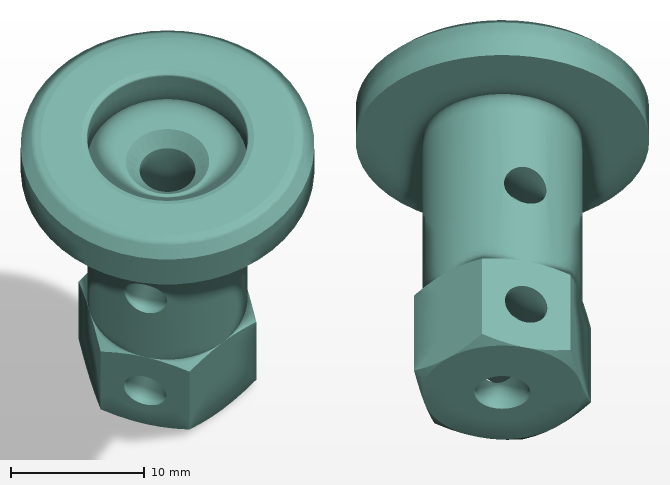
import cadquery as cq
import math

total_height = 27.25
flange_thickness = 4.0
hex_height = 8.0

flange_diameter = 22.0
rim_diameter = 20.25
rim_drop = 0.123
rim_fillet = 0.5
top_face_diameter = 18.99
flange_chamfer = (flange_diameter - rim_diameter) / 2

shaft_diameter = 12.0
hex_across_flats = shaft_diameter
hex_chamfer_angle = 30.0

bore_diameter = 4.2
countersink_diameter = 6.25
countersink_depth = (countersink_diameter - bore_diameter) / 2
recess_diameter = 12.0
recess_depth = 3.0
lip_diameter = 12.97
lip_drop = 0.15
lip_fillet = 0.1

cross_hole_diameter = 3.32
cross_hole_heights = (hex_height / 2, 15.0)


def revolve_profile(points):
    """Revolve an (r, z) outline about the Z axis."""
    return cq.Workplane("XZ").polyline(points).close().revolve(360, (0, 0), (0, 1))


def circle_near(diameter, height):
    """Box selector that catches only the circular edge of a given size and height."""
    margin = 0.014
    radius = diameter / 2 + margin
    return cq.selectors.BoxSelector(
        (-radius, -radius, height - margin),
        (radius, radius, height + margin),
        boundingbox=True,
    )


def make_hexagon():
    """Hexagonal end with its corners trimmed by a cone at both ends."""
    across_corners = hex_across_flats / math.cos(math.radians(30))
    corner_radius = across_corners / 2
    flat_radius = hex_across_flats / 2
    drop = (corner_radius - flat_radius) * math.tan(math.radians(hex_chamfer_angle))
    prism = cq.Workplane("XY").polygon(6, across_corners).extrude(hex_height)
    envelope = revolve_profile([
        (0, 0),
        (flat_radius, 0),
        (corner_radius, drop),
        (corner_radius, hex_height - drop),
        (flat_radius, hex_height),
        (0, hex_height),
    ])
    return prism.intersect(envelope)


def make_shaft_and_flange():
    """Round shaft with a chamfered flange and a gently sloped, rounded rim."""
    shaft_radius = shaft_diameter / 2
    flange_radius = flange_diameter / 2
    flange_bottom = total_height - flange_thickness
    rim_height = total_height - rim_drop
    body = revolve_profile([
        (0, hex_height),
        (shaft_radius, hex_height),
        (shaft_radius, flange_bottom),
        (flange_radius, flange_bottom),
        (flange_radius, rim_height - flange_chamfer),
        (rim_diameter / 2, rim_height),
        (top_face_diameter / 2, total_height),
        (0, total_height),
    ])
    return body.edges(circle_near(rim_diameter, rim_height)).fillet(rim_fillet)


def make_axial_cut():
    """Through bore, countersink and recess with a sloped lip as one cutter."""
    bore_radius = bore_diameter / 2
    recess_radius = recess_diameter / 2
    floor = total_height - recess_depth
    return revolve_profile([
        (0, 0),
        (bore_radius, 0),
        (bore_radius, floor - countersink_depth),
        (countersink_diameter / 2, floor),
        (recess_radius, floor),
        (recess_radius, total_height - lip_drop),
        (lip_diameter / 2, total_height),
        (0, total_height),
    ])


def make_cross_hole(height):
    """Hole along Y through both walls at the given height."""
    return (
        cq.Workplane("XZ")
        .center(0, height)
        .circle(cross_hole_diameter / 2)
        .extrude(shaft_diameter, both=True)
    )


result = make_hexagon().union(make_shaft_and_flange()).cut(make_axial_cut())
result = result.edges(circle_near(recess_diameter, total_height - lip_drop)).fillet(lip_fillet)
for hole_height in cross_hole_heights:
    result = result.cut(make_cross_hole(hole_height))